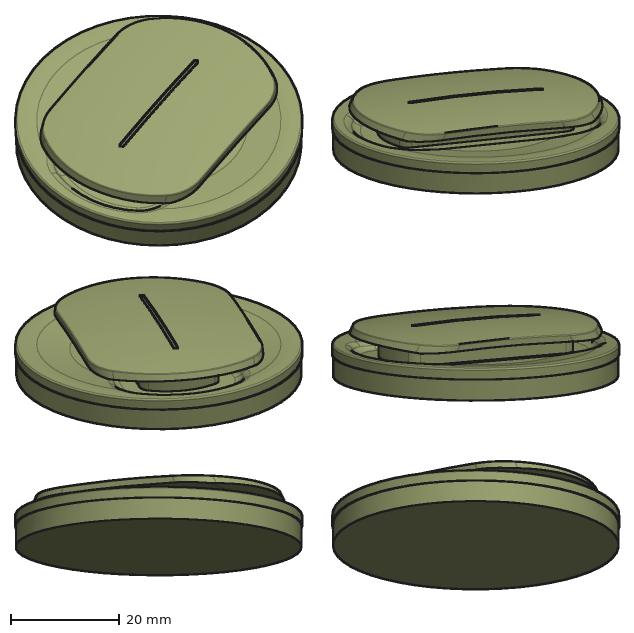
import cadquery as cq
import math

overall_height = 10.7

base_radius = 26.35
base_height = 4.0

cover_radius = 26.5
cover_top = 6.05
cover_edge_round = 0.3
dish_cone_radius = 22.5
dish_floor_radius = 16.45
dish_slope = math.radians(7.7)

stem_half_width = 7.45
stem_half_length = 18.5
stem_end_radius = 13.25
stem_corner_radius = 2.2

moat_margin = 4.95
moat_floor = 4.2
moat_floor_round = 1.85
moat_edge_round = 1.75
moat_lip_clearance = 0.15

plate_half_width = 16.55
plate_half_length = 23.4
plate_end_radius = 20.65
plate_corner_radius = 8.9
plate_end_lean = 0.52
plate_end_bottom = 8.45
plate_edge_round = 0.2
crown_radius_x = 134.1
crown_radius_y = 241.15

underside_crease_y = 18.0
underside_crease_z = 7.8
underside_middle_z = 8.3

groove_length = 26.1
groove_width = 0.8
groove_depth = 0.25

plate_blank_bottom = 7.4
plate_blank_top = overall_height + 0.55
tool_reach = 31.8


def rounded_outline(half_width, half_length, end_radius, corner_radius, z):
    """Closed wire with straight sides, bowed ends and rounded corners."""
    bow = end_radius - math.sqrt(end_radius**2 - half_width**2)
    shoulder = half_length - bow
    sharp = (
        cq.Workplane("XY", origin=(0, 0, z))
        .moveTo(half_width, -shoulder)
        .lineTo(half_width, shoulder)
        .threePointArc((0, half_length), (-half_width, shoulder))
        .lineTo(-half_width, -shoulder)
        .threePointArc((0, -half_length), (half_width, -shoulder))
        .close()
        .val()
    )
    return sharp.fillet2D(corner_radius, sharp.Vertices())


def stem_block(margin, bottom, top):
    """Upright block with the stem outline grown by a margin."""
    outline = rounded_outline(
        stem_half_width + margin,
        stem_half_length + margin,
        stem_end_radius + margin,
        stem_corner_radius + margin,
        bottom,
    )
    return cq.Workplane(cq.Solid.extrudeLinear(outline, [], cq.Vector(0, 0, top - bottom)))


def crowned_block(top):
    """Block whose upper face is an arc along X swept along an arc in Y."""
    sag_x = crown_radius_x - math.sqrt(crown_radius_x**2 - tool_reach**2)
    sag_y = crown_radius_y - math.sqrt(crown_radius_y**2 - tool_reach**2)
    end_z = top - sag_y
    path = (
        cq.Workplane("YZ")
        .moveTo(-tool_reach, end_z)
        .threePointArc((0, top), (tool_reach, end_z))
    )
    return (
        cq.Workplane("XZ", origin=(0, -tool_reach, 0))
        .moveTo(-tool_reach, end_z - sag_x)
        .threePointArc((0, end_z), (tool_reach, end_z - sag_x))
        .lineTo(tool_reach, -overall_height)
        .lineTo(-tool_reach, -overall_height)
        .close()
        .sweep(path)
    )


def make_base():
    return cq.Workplane("XY").circle(base_radius).extrude(base_height)


def make_cover():
    rim_inner = cover_radius - cover_edge_round
    roll_radius = (rim_inner - dish_cone_radius) / math.sin(dish_slope)
    roll_mid_r = rim_inner - roll_radius * math.sin(dish_slope / 2)
    roll_mid_z = cover_top - roll_radius * (1 - math.cos(dish_slope / 2))
    cone_top_z = cover_top - roll_radius * (1 - math.cos(dish_slope))
    dish_floor_z = cone_top_z - (dish_cone_radius - dish_floor_radius) * math.tan(dish_slope)
    edge_mid = cover_edge_round * math.sqrt(0.5)
    cover = (
        cq.Workplane("XZ")
        .moveTo(0, base_height)
        .lineTo(cover_radius, base_height)
        .lineTo(cover_radius, cover_top - cover_edge_round)
        .threePointArc(
            (rim_inner + edge_mid, cover_top - cover_edge_round + edge_mid), (rim_inner, cover_top)
        )
        .threePointArc((roll_mid_r, roll_mid_z), (dish_cone_radius, cone_top_z))
        .lineTo(dish_floor_radius, dish_floor_z)
        .lineTo(0, dish_floor_z)
        .close()
        .revolve(360, (0, 0, 0), (0, 1, 0))
    )
    moat = stem_block(moat_margin, moat_floor, overall_height).faces("<Z").edges().fillet(moat_floor_round)
    opening = cq.selectors.BoxSelector(
        (-stem_half_width - moat_margin, -stem_half_length - moat_margin, moat_floor + moat_lip_clearance),
        (stem_half_width + moat_margin, stem_half_length + moat_margin, cover_top),
        boundingbox=True,
    )
    return cover.cut(moat).edges(opening).fillet(moat_edge_round)


def make_plate():
    def blank_outline(z):
        half_length = plate_half_length - plate_end_lean * (z - plate_end_bottom)
        return rounded_outline(plate_half_width, half_length, plate_end_radius, plate_corner_radius, z)

    blank = cq.Workplane(
        cq.Solid.makeLoft([blank_outline(plate_blank_bottom), blank_outline(plate_blank_top)], True)
    )
    plate = blank.intersect(crowned_block(overall_height))
    rise = (plate_end_bottom - underside_crease_z) / (plate_half_length - underside_crease_y)
    far_z = underside_crease_z + rise * (tool_reach - underside_crease_y)
    underside = (
        cq.Workplane("YZ")
        .moveTo(-tool_reach, 0)
        .lineTo(-tool_reach, far_z)
        .lineTo(-underside_crease_y, underside_crease_z)
        .threePointArc((0, underside_middle_z), (underside_crease_y, underside_crease_z))
        .lineTo(tool_reach, far_z)
        .lineTo(tool_reach, 0)
        .close()
        .extrude(tool_reach, both=True)
    )
    return plate.cut(underside).faces(">Z").edges().fillet(plate_edge_round)


def make_groove():
    slot = (
        cq.Workplane("XY", origin=(0, 0, underside_middle_z))
        .slot2D(groove_length, groove_width, 90)
        .extrude(overall_height)
    )
    return slot.cut(crowned_block(overall_height - groove_depth))


def make_knob():
    stem = stem_block(0, moat_floor, underside_middle_z + groove_depth)
    return make_plate().union(stem).cut(make_groove())


base = make_base()
cover = make_cover()
knob = make_knob()
result = cq.Compound.makeCompound([base.val(), cover.val(), knob.val()])